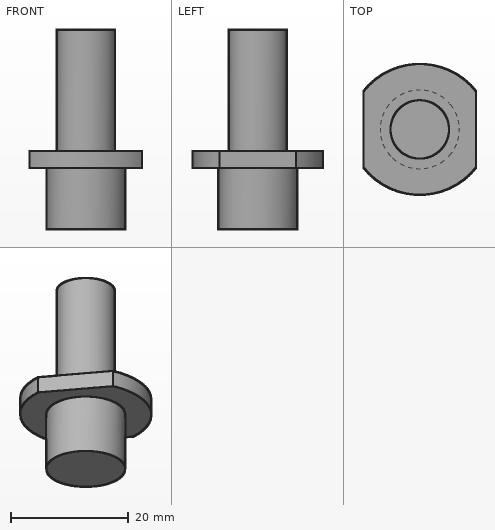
import cadquery as cq

total_height = 34.1
base_diameter = 13.5
base_height = 10.45
flange_thickness = 2.93
flange_width = 19.25
flange_length = 22.4
flat_length = 13.03
pin_diameter = 10.0

flange_top = base_height + flange_thickness
pin_height = total_height - flange_top


def cylinder(diameter, height, bottom):
    """Upright cylinder on the Z axis, starting at height bottom."""
    return cq.Workplane("XY").workplane(offset=bottom).circle(diameter / 2).extrude(height)


def flange():
    """Plate with two parallel flats and two shallow arc ends."""
    half_width = flange_width / 2
    half_flat = flat_length / 2
    crown = flange_length / 2
    return (
        cq.Workplane("XY")
        .workplane(offset=base_height)
        .moveTo(half_width, -half_flat)
        .lineTo(half_width, half_flat)
        .threePointArc((0, crown), (-half_width, half_flat))
        .lineTo(-half_width, -half_flat)
        .threePointArc((0, -crown), (half_width, -half_flat))
        .close()
        .extrude(flange_thickness)
    )


base = cylinder(base_diameter, base_height, 0)
pin = cylinder(pin_diameter, pin_height, flange_top)
result = base.union(flange()).union(pin)